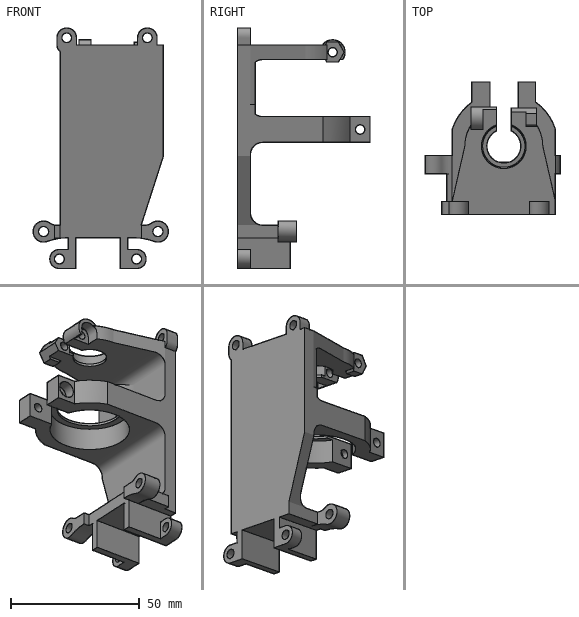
import cadquery as cq
import math


overall_height = 93.5

plate_width = 40.1
plate_thickness = 5.1
plate_top = 87.0
taper_start_z = 43.7
taper_end_z = 16.9
lower_width = 31.5
corner_fillet = 4.7

bore_x = plate_width / 2
bore_y = 26.65

top_ear_radius = 3.8
top_ear_xs = (2.5, 33.85)
top_ear_z = overall_height - top_ear_radius
top_ear_hole = 3.6 / 2
ear_blend_drop = 2.7

collar_bottom = 81.2
collar_radius = 15.15
collar_bore = 8.2
collar_lip_bore = 6.5
collar_lip_height = 1.0
collar_chamfer = 0.5
collar_slot = 5.6

collar_lug_y = 37.0
collar_lug_z = 84.1
collar_lug_hole = 3.5 / 2
collar_lug_inset = 7.3
lug_block_width = 4.7
round_lug_radius = 4.9
screw_pocket_radius = 6.8 / 2
hex_lug_flats = 7.8
hex_block_width = 4.1

arm_bottom = 49.0
arm_top = 59.1
arm_radius = 21.1
arm_side_y = 33.4
arm_bore = 15.4
arm_lip_bore = 12.7
arm_lip_height = 1.0
arm_slot_left = 14.8
arm_slot_right = 25.6
arm_lug_left = 7.6
arm_lug_right = 32.4
arm_back = 51.6
arm_lug_y = 47.7
arm_lug_z = (arm_bottom + arm_top) / 2
arm_lug_hole = 3.55 / 2
arm_head_radius = 6.6 / 2
arm_head_depth = 4.7

shelf_bottom = 12.0
shelf_top = taper_end_z
shelf_back = 20.6
side_ear_x = 6.45
side_ear_z = 14.4
side_ear_radius = 4.1
side_ear_hole = 3.8 / 2
side_ear_front = 15.9
side_ear_back = 23.0
upper_blend_end = -1.5
side_bar_width = 2.15

leg_inset = 3.1
leg_width = 3.0
foot_radius = 3.7
foot_x = 0.33
leg_mirror_x = 14.7
foot_hole = 3.7 / 2

strip_back = 7.0
motor_clearance = bore_y - plate_thickness


def block(x0, x1, y0, y1, z0, z1):
    """Box given by its limits along each axis."""
    return cq.Workplane("XY").box(x1 - x0, y1 - y0, z1 - z0, centered=False).translate((x0, y0, z0))


def cylinder_x(radius, y, z, x0, x1):
    """Cylinder along X between x0 and x1."""
    return cq.Workplane("YZ", origin=(x0, y, z)).circle(radius).extrude(x1 - x0)


def cylinder_y(radius, x, z, y0, y1):
    """Cylinder along Y between y0 and y1."""
    return cq.Workplane("XZ", origin=(x, y0, z)).circle(radius).extrude(y0 - y1)


def cylinder_z(radius, z0, z1):
    """Cylinder on the bore axis between z0 and z1."""
    return cq.Workplane("XY", origin=(bore_x, bore_y, z0)).circle(radius).extrude(z1 - z0)


def mirror_about(shape, x):
    """Mirror a shape in the plane at the given x."""
    return shape.mirror("YZ", (x, 0, 0))


def side_profile():
    """Plate, collar, arm and shelf as one filleted side outline, over the full width."""
    outline = (
        cq.Workplane("YZ")
        .moveTo(0, shelf_bottom)
        .lineTo(shelf_back, shelf_bottom)
        .lineTo(shelf_back, shelf_top)
        .lineTo(plate_thickness, shelf_top)
        .lineTo(plate_thickness, arm_bottom)
        .lineTo(arm_back, arm_bottom)
        .lineTo(arm_back, arm_top)
        .lineTo(plate_thickness, arm_top)
        .lineTo(plate_thickness, collar_bottom)
        .lineTo(collar_lug_y, collar_bottom)
        .lineTo(collar_lug_y, plate_top)
        .lineTo(0, plate_top)
        .close()
        .extrude(plate_width)
    )
    margin = 0.1
    inner_corners = cq.selectors.BoxSelector(
        (0, plate_thickness - margin, shelf_bottom),
        (plate_width, plate_thickness + margin, plate_top),
    )
    return outline.edges("|X").edges(inner_corners).fillet(corner_fillet)


def front_outline():
    """Tapered front outline of the plate, deep enough to trim everything behind it."""
    return (
        cq.Workplane("XZ")
        .moveTo(0, shelf_bottom)
        .lineTo(lower_width, shelf_bottom)
        .lineTo(lower_width, taper_end_z)
        .lineTo(plate_width, taper_start_z)
        .lineTo(plate_width, plate_top)
        .lineTo(0, plate_top)
        .close()
        .extrude(-arm_back)
    )


def arm_plan():
    """Plan outline of the clamp arm and of everything below it, up to the top of its fillet."""
    def arc_y(x):
        return bore_y + math.sqrt(arm_radius**2 - (bore_x - x) ** 2)

    side_x = bore_x - math.sqrt(arm_radius**2 - (arm_side_y - bore_y) ** 2)
    mid_x = (side_x + arm_lug_left) / 2
    return (
        cq.Workplane("XY")
        .lineTo(0, arm_side_y)
        .lineTo(side_x, arm_side_y)
        .threePointArc((mid_x, arc_y(mid_x)), (arm_lug_left, arc_y(arm_lug_left)))
        .lineTo(arm_lug_left, arm_back)
        .lineTo(arm_lug_right, arm_back)
        .lineTo(arm_lug_right, arc_y(arm_lug_right))
        .threePointArc((plate_width - mid_x, arc_y(mid_x)), (plate_width - side_x, arm_side_y))
        .lineTo(plate_width, arm_side_y)
        .lineTo(plate_width, 0)
        .close()
        .extrude(arm_top + corner_fillet)
    )


def collar_plan():
    """Plan outline of the collar: straight tapering sides, then arcs about the bore."""
    def arc_x(y):
        return bore_x - math.sqrt(collar_radius**2 - (y - bore_y) ** 2)

    arc_end_y = bore_y + math.sqrt(collar_radius**2 - (bore_x - collar_lug_inset) ** 2)
    mid_y = (bore_y + arc_end_y) / 2
    return (
        cq.Workplane("XY", origin=(0, 0, arm_top + corner_fillet))
        .lineTo(0, plate_thickness)
        .lineTo(arc_x(bore_y), bore_y)
        .threePointArc((arc_x(mid_y), mid_y), (collar_lug_inset, arc_end_y))
        .lineTo(collar_lug_inset, collar_lug_y)
        .lineTo(plate_width - collar_lug_inset, collar_lug_y)
        .lineTo(plate_width - collar_lug_inset, arc_end_y)
        .threePointArc((plate_width - arc_x(mid_y), mid_y), (plate_width - arc_x(bore_y), bore_y))
        .lineTo(plate_width, plate_thickness)
        .lineTo(plate_width, 0)
        .close()
        .extrude(plate_top - arm_top - corner_fillet)
    )


def raised_strip():
    """Strip along the right edge of the plate, hollowed by the motor clearance."""
    strip = block(bore_x, plate_width, 0, strip_back, arm_bottom, plate_top)
    return strip.cut(cylinder_z(motor_clearance, arm_bottom, plate_top))


def collar_lugs():
    """Round lug with a screw-head pocket on the left, hexagonal nut lug on the right."""
    left = collar_lug_inset
    right = plate_width - collar_lug_inset
    slab = block(left, right, 0, arm_back, collar_bottom, plate_top)
    head_block = block(left, left + lug_block_width, 0, arm_back, collar_bottom, overall_height)
    nut_block = block(right - hex_block_width, right, 0, arm_back, arm_top, overall_height)

    round_lug = cylinder_x(round_lug_radius, collar_lug_y, collar_lug_z, left, bore_x)
    round_lug = round_lug.intersect(slab.union(head_block))
    hex_lug = (
        cq.Workplane("YZ", origin=(bore_x, collar_lug_y, collar_lug_z))
        .polygon(6, hex_lug_flats / math.cos(math.pi / 6))
        .extrude(right - bore_x)
        .intersect(slab.union(nut_block))
    )
    return round_lug.union(hex_lug)


def collar_cuts():
    """Stepped collar bore, clamp slot, clamp screw hole and screw-head pocket."""
    lip_top = collar_bottom + collar_lip_height
    bore = cylinder_z(collar_lip_bore, collar_bottom, plate_top)
    bore = bore.union(cylinder_z(collar_bore, lip_top, plate_top))
    chamfer = (
        cq.Workplane("XY", origin=(bore_x, bore_y, plate_top - collar_chamfer))
        .circle(collar_bore)
        .extrude(collar_chamfer, taper=-45)
    )
    half_slot = collar_slot / 2
    slot = block(bore_x - half_slot, bore_x + half_slot, bore_y, arm_back, collar_bottom, plate_top)
    hole = cylinder_x(collar_lug_hole, collar_lug_y, collar_lug_z, 0, plate_width)
    pocket_end = collar_lug_inset + lug_block_width
    pocket_front = collar_lug_y - screw_pocket_radius
    pocket_back = collar_lug_y + screw_pocket_radius
    pocket = cylinder_x(screw_pocket_radius, collar_lug_y, collar_lug_z, 0, pocket_end)
    pocket = pocket.union(
        block(0, pocket_end, pocket_front, pocket_back, collar_bottom, collar_lug_z)
    )
    return bore.union(chamfer).union(slot).union(hole).union(pocket)


def arm_cuts():
    """Stepped clamp arm bore, slot, screw hole and screw-head counterbore."""
    bore = cylinder_z(arm_lip_bore, arm_bottom, arm_top)
    bore = bore.union(cylinder_z(arm_bore, arm_bottom, arm_top - arm_lip_height))
    slot = block(arm_slot_left, arm_slot_right, bore_y, arm_back, arm_bottom, arm_top)
    hole = cylinder_x(arm_lug_hole, arm_lug_y, arm_lug_z, 0, plate_width)
    head_end = arm_lug_left + arm_head_depth
    head = cylinder_x(arm_head_radius, arm_lug_y, arm_lug_z, 0, head_end)
    return bore.union(slot).union(hole).union(head)


def top_ear(x):
    """Rounded ear standing on the top edge of the plate."""
    ear = cylinder_y(top_ear_radius, x, top_ear_z, 0, plate_thickness)
    stem = block(
        x - top_ear_radius, x + top_ear_radius, 0, plate_thickness, plate_top, top_ear_z
    )
    return ear.union(stem)


def left_ear_blend():
    """Rounded underside where the left top ear overhangs the plate edge."""
    overhang = top_ear_radius - top_ear_xs[0]
    radius = (ear_blend_drop**2 + overhang**2) / (2 * overhang)
    centre_x = radius - overhang
    blend = cylinder_y(radius, centre_x, plate_top, 0, plate_thickness)
    return blend.intersect(
        block(-overhang, top_ear_radius, 0, plate_thickness, plate_top - ear_blend_drop, plate_top)
    )


def tangent_blend(line_z, end_x):
    """Arc from the left side ear to a level line, ending at end_x.

    Returns the arc's start and middle points; it touches the ear circle at the
    start and the line at z = line_z at the end.
    """
    side = math.copysign(1, line_z - side_ear_z)
    run = end_x + side_ear_x
    gap = abs(line_z - side_ear_z)
    radius = (run**2 + gap**2 - side_ear_radius**2) / (2 * (side_ear_radius - gap))
    turn = math.asin(run / (side_ear_radius + radius))

    def arc_point(angle):
        return (
            end_x - radius * math.sin(angle),
            line_z + side * radius * (1 - math.cos(angle)),
        )

    return arc_point(turn), arc_point(turn / 2)


def side_ear():
    """Left side ear, flowing into the bottom shelf above and into the leg below."""
    upper_start, upper_mid = tangent_blend(shelf_top, upper_blend_end)
    lower_start, lower_mid = tangent_blend(shelf_bottom, leg_inset)
    return (
        cq.Workplane("XZ", origin=(0, side_ear_front, 0))
        .moveTo(leg_inset, shelf_top)
        .lineTo(upper_blend_end, shelf_top)
        .threePointArc(upper_mid, upper_start)
        .threePointArc((-side_ear_x - side_ear_radius, side_ear_z), lower_start)
        .threePointArc(lower_mid, (leg_inset, shelf_bottom))
        .close()
        .extrude(side_ear_front - side_ear_back)
        .cut(cylinder_y(side_ear_hole, -side_ear_x, side_ear_z, 0, arm_back))
    )


def leg():
    """Left leg with its rounded foot."""
    inner_x = leg_inset + leg_width
    post = block(leg_inset, inner_x, 0, shelf_back, 0, shelf_bottom)
    foot = block(-foot_x, inner_x, 0, plate_thickness, 0, 2 * foot_radius)
    foot = foot.union(cylinder_y(foot_radius, -foot_x, foot_radius, 0, plate_thickness))
    return post.union(foot).cut(cylinder_y(foot_hole, -foot_x, foot_radius, 0, plate_thickness))


body = side_profile().union(raised_strip())
body = body.intersect(front_outline()).intersect(arm_plan().union(collar_plan()))
body = body.union(collar_lugs()).cut(collar_cuts()).cut(arm_cuts())

body = body.union(left_ear_blend())
for ear_x in top_ear_xs:
    body = body.union(top_ear(ear_x))
    body = body.cut(cylinder_y(top_ear_hole, ear_x, top_ear_z, 0, plate_thickness))

for left_part, mirror_x in ((side_ear(), lower_width / 2), (leg(), leg_mirror_x)):
    body = body.union(left_part).union(mirror_about(left_part, mirror_x))

side_bar = block(-side_bar_width, 0, plate_thickness, side_ear_front, shelf_bottom, shelf_top)
result = body.union(side_bar).clean()